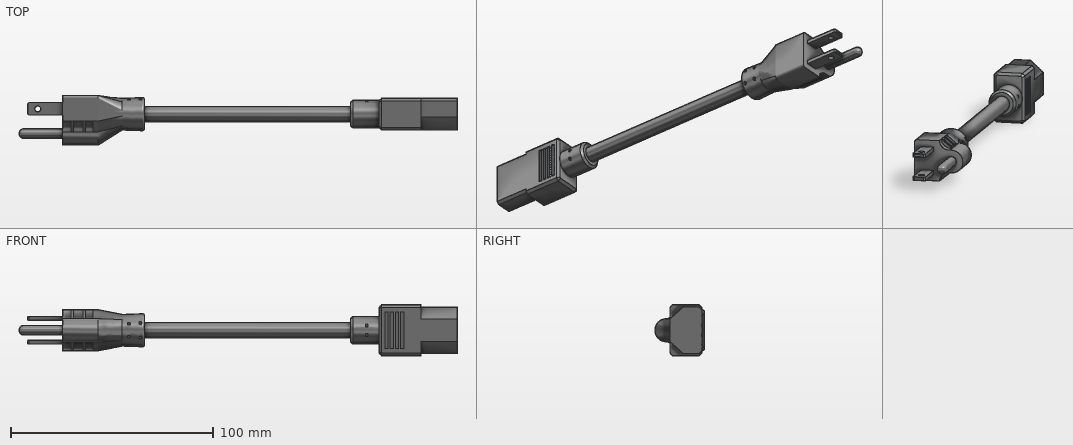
import cadquery as cq
import math


total_length = 217.04
blade_tip_x = 4.1
plug_face_x = 21.6
plug_shoulder_x = 39.2
collar_start_x = 51.0
plug_end_x = 62.2
connector_start_x = 164.0
connector_back_x = 178.2
connector_shoulder_x = 198.9

cord_diameter = 7.7

plug_depth = 24.64
plug_back_y = 9.3
plug_height = 20.4
plug_top_z = plug_height / 2
back_edge_radius = 1.35
flank_top_y = -3.4
flank_bottom_y = -8.8
lug_radius = 5.75
lug_y = plug_back_y - plug_depth + lug_radius

scoop_radius = 4.85
scoop_y = -8.2
scoop_z = lug_radius + scoop_radius
scoop_spans = [(plug_face_x, 25.8), (27.1, 31.6), (32.9, 36.6)]

collar_start_radius = 7.9
collar_end_radius = 8.3
collar_rim_fillet = 1.2
back_edge_angle = 40
back_round_angle = 75
flank_top_angle = 97
flank_bottom_angle = 138
lug_top_angle = 141

blade_width = 6.35
blade_thickness = 1.9
blade_spacing = 11.77
blade_y = 2.65
blade_tip_chamfer = 0.9
blade_tip_bevel = 0.45
blade_hole_diameter = 2.8
blade_hole_x = 9.3
ground_pin_diameter = 4.9

dimple_diameter = 1.4
dimple_depth = 0.9
collar_dimples = [(54.4, 3.2), (60.1, 3.6)]
sleeve_dimples = [(172.1, 2.35)]

connector_height = 25.27
connector_width = 15.8
connector_chamfer = 1.3
sleeve_diameter = 13.8
sleeve_chamfer = 1.2
nose_height = 22.9
nose_flat_y = -1.4
nose_side_z = 5.6
groove_count = 4
groove_pitch = 2.6
groove_first_x = 181.9
groove_width = 1.6
groove_height = 18.0
groove_depth = 0.6


def bar(start_x, end_x, diameter, y=0.0):
    """A round bar along X."""
    return cq.Workplane("YZ", origin=(start_x, y, 0)).circle(diameter / 2).extrude(end_x - start_x)


def box(x, y, z, length, width, height):
    """A block that starts at x and is centred on y and z."""
    return cq.Workplane("XY").box(length, width, height, centered=(False, True, True)).translate((x, y, z))


def cut_dimples(body, places, surface_radius):
    """Sink round dimples into both Y sides of a round strain relief, above and below the cord axis."""
    for x, z in places:
        floor_y = math.sqrt(surface_radius**2 - z**2) - dimple_depth
        for side in (1, -1):
            dimples = (
                cq.Workplane("XZ", origin=(x, side * floor_y, 0))
                .pushPoints([(0, z), (0, -z)])
                .circle(dimple_diameter / 2)
                .extrude(-side * surface_radius)
            )
            body = body.cut(dimples)
    return body



def plug_profile():
    """Corners of the upper half of the plug section, from the back edge round to the ground lug."""
    return [
        (plug_back_y, plug_top_z - back_edge_radius),
        (plug_back_y - back_edge_radius, plug_top_z),
        (flank_top_y, plug_top_z),
        (flank_bottom_y, lug_radius),
        (lug_y, lug_radius),
    ]



def plug_section_wire(x):
    """Plug section: rounded back edges and straight sides, closed by the half-round ground lug."""
    upper = [cq.Vector(x, y, z) for y, z in plug_profile()]
    lower = [cq.Vector(x, y, -z) for y, z in reversed(plug_profile())]
    lug_tip = cq.Vector(x, lug_y - lug_radius, 0)
    round_centre_y = plug_back_y - back_edge_radius
    round_centre_z = plug_top_z - back_edge_radius
    reach = back_edge_radius * math.sqrt(0.5)
    upper_round_middle = cq.Vector(x, round_centre_y + reach, round_centre_z + reach)
    lower_round_middle = cq.Vector(x, round_centre_y + reach, -round_centre_z - reach)

    edges = [cq.Edge.makeThreePointArc(upper[0], upper_round_middle, upper[1])]
    edges += [cq.Edge.makeLine(a, b) for a, b in zip(upper[1:], upper[2:])]
    edges.append(cq.Edge.makeThreePointArc(upper[-1], lug_tip, lower[0]))
    edges += [cq.Edge.makeLine(a, b) for a, b in zip(lower[:-1], lower[1:-1])]
    edges.append(cq.Edge.makeThreePointArc(lower[-2], lower_round_middle, lower[-1]))
    edges.append(cq.Edge.makeLine(lower[-1], upper[0]))
    return cq.Wire.assembleEdges(edges)


def collar_section_wire(x):
    """Collar circle, split into one arc for each edge of the plug section."""
    upper = [back_edge_angle, back_round_angle, flank_top_angle, flank_bottom_angle, lug_top_angle]
    angles = upper + [360 - a for a in reversed(upper)] + [360 + back_edge_angle]

    def point(angle):
        turn = math.radians(angle)
        return cq.Vector(x, collar_start_radius * math.cos(turn), collar_start_radius * math.sin(turn))

    arcs = [
        cq.Edge.makeThreePointArc(point(a), point((a + b) / 2), point(b))
        for a, b in zip(angles, angles[1:])
    ]
    return cq.Wire.assembleEdges(arcs)


def make_plug_block():
    section = plug_section_wire(plug_face_x)
    length = cq.Vector(plug_shoulder_x - plug_face_x, 0, 0)
    block = cq.Workplane(obj=cq.Solid.extrudeLinear(section, [], length))
    for start_x, end_x in scoop_spans:
        for side in (1, -1):
            scoop = bar(start_x, end_x, 2 * scoop_radius, scoop_y).translate((0, 0, side * scoop_z))
            block = block.cut(scoop)
    return block


def make_plug_neck():
    """Neck that blends the plug section into the round collar."""
    wires = [plug_section_wire(plug_shoulder_x), collar_section_wire(collar_start_x)]
    return cq.Workplane(obj=cq.Solid.makeLoft(wires, True))


def make_collar():
    collar = (
        cq.Workplane("YZ", origin=(collar_start_x, 0, 0))
        .circle(collar_start_radius)
        .workplane(offset=plug_end_x - collar_start_x)
        .circle(collar_end_radius)
        .loft(ruled=True)
        .faces(">X")
        .edges()
        .fillet(collar_rim_fillet)
    )
    return cut_dimples(collar, collar_dimples, collar_start_radius)


def make_blade(z):
    length = plug_face_x - blade_tip_x
    blade = box(blade_tip_x, blade_y, z, length, blade_width, blade_thickness)
    blade = blade.edges("<X and |Z").chamfer(blade_tip_chamfer)
    blade = blade.faces("<X").edges("|Y").chamfer(blade_tip_bevel)
    hole = (
        cq.Workplane("XY", origin=(blade_hole_x, blade_y, z))
        .circle(blade_hole_diameter / 2)
        .extrude(blade_thickness, both=True)
    )
    return blade.cut(hole)


def make_ground_pin():
    """Ground pin with a domed tip."""
    radius = ground_pin_diameter / 2
    dome = cq.Workplane("XY").sphere(radius).translate((radius, lug_y, 0))
    return bar(radius, plug_face_x, ground_pin_diameter, lug_y).union(dome)


def make_plug():
    plug = make_plug_block().union(make_plug_neck()).union(make_collar()).union(make_ground_pin())
    for side in (1, -1):
        plug = plug.union(make_blade(side * blade_spacing / 2))
    return plug



def make_connector_block():
    length = connector_shoulder_x - connector_back_x
    block = box(connector_back_x, 0, 0, length, connector_width, connector_height)
    block = block.edges("|X").chamfer(connector_chamfer)
    block = block.faces("<X").chamfer(connector_chamfer)
    for index in range(groove_count):
        x = groove_first_x + index * groove_pitch - groove_width / 2
        for side in (1, -1):
            y = side * connector_width / 2
            block = block.cut(box(x, y, 0, groove_width, 2 * groove_depth, groove_height))
    return block


def make_nose():
    """Keyed nose: small bevels at the back, large ones at the front."""
    half_width = connector_width / 2
    half_height = nose_height / 2
    upper = [
        (half_width, half_height - connector_chamfer),
        (half_width - connector_chamfer, half_height),
        (nose_flat_y, half_height),
        (-half_width, nose_side_z),
    ]
    lower = [(y, -z) for y, z in reversed(upper)]
    return (
        cq.Workplane("YZ", origin=(connector_shoulder_x, 0, 0))
        .polyline(upper + lower)
        .close()
        .extrude(total_length - connector_shoulder_x)
    )


def make_sleeve():
    sleeve = bar(connector_start_x, connector_back_x, sleeve_diameter)
    sleeve = sleeve.faces("<X").edges().chamfer(sleeve_chamfer)
    return cut_dimples(sleeve, sleeve_dimples, sleeve_diameter / 2)


def make_connector():
    return make_connector_block().union(make_nose()).union(make_sleeve())



plug = make_plug()
cord = bar(plug_end_x, connector_start_x, cord_diameter)
connector = make_connector()

result = cq.Compound.makeCompound([plug.val(), cord.val(), connector.val()])